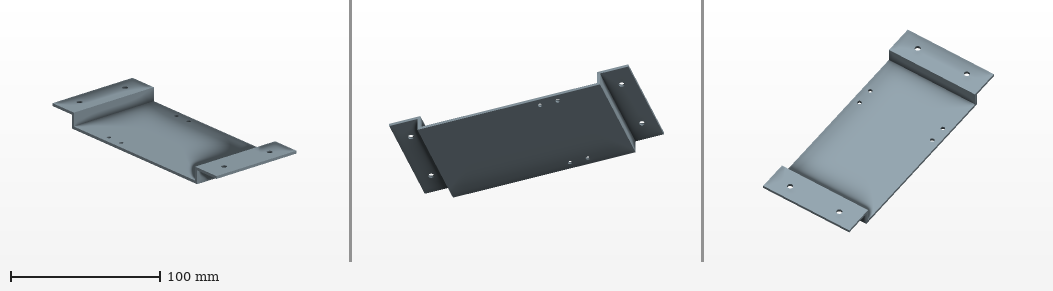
import cadquery as cq

length = 170.0
width = 70.0
height = 12.0
thickness = 2.0

flange_overhang = 20.0
flange_hole_diameter = 4.0
flange_hole_end_distance = 10.0
flange_hole_pitch = 40.0

floor_hole_diameter = 3.0
floor_hole_pitch_x = 12.5
floor_hole_pitch_y = 59.2
floor_hole_group_x = -26.7


def make_sheet():
    """Hat-shaped section, symmetric about X = 0, extruded along Y."""
    end = length / 2
    wall_outer = end - flange_overhang
    wall_inner = wall_outer - thickness
    right_half = [
        (wall_outer, 0),
        (wall_outer, height - thickness),
        (end, height - thickness),
        (end, height),
        (wall_inner, height),
        (wall_inner, thickness),
    ]
    left_half = [(-x, z) for x, z in reversed(right_half)]
    return (
        cq.Workplane("XZ")
        .polyline(right_half + left_half)
        .close()
        .extrude(width / 2, both=True)
    )


def hole_cutters(center_x, pitch_x, pitch_y, diameter):
    """Four vertical cylinders on a rectangle, tall enough to pass through the part."""
    return (
        cq.Workplane("XY")
        .center(center_x, 0)
        .rect(pitch_x, pitch_y, forConstruction=True)
        .vertices()
        .circle(diameter / 2)
        .extrude(height)
    )


flange_hole_pitch_x = length - 2 * flange_hole_end_distance
flange_holes = hole_cutters(0, flange_hole_pitch_x, flange_hole_pitch, flange_hole_diameter)
floor_holes = hole_cutters(
    floor_hole_group_x, floor_hole_pitch_x, floor_hole_pitch_y, floor_hole_diameter
)

result = make_sheet().cut(flange_holes).cut(floor_holes)